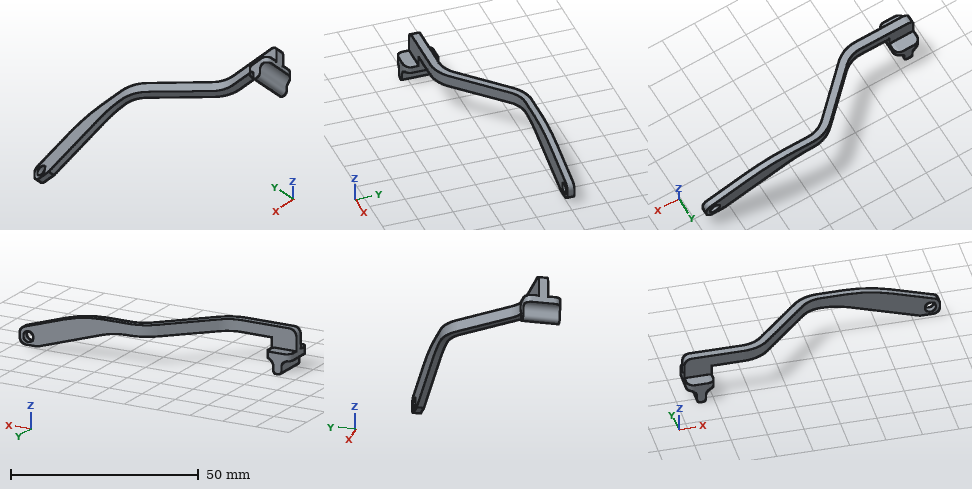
import math

import cadquery as cq


total_length = 74.61
total_width = 23.5
total_height = 12.07

foot_arm_width = 2.5
diagonal_width = 2.35
lever_arm_width = 2.0
crank_angle = 44.5
foot_bend_x = 20.56
bend_outer_radius = 10.0
bend_inner_radius = 8.0

arm_depth_at_foot = 3.4
arm_depth_at_lever = 3.25
nose_radius = 2.0

droop_angle = 18.0
droop_top_start_x = 48.9
droop_top_radius = 40.0
droop_bottom_start_x = 41.95
droop_bottom_radius = 25.0
lever_bottom_depth = 10.8
lever_end_radius = 2.0
pivot_diameter = 3.0
pivot_end_distance = 2.65
pivot_depth = 8.45

foot_length = 7.5
foot_width = 10.0
foot_top_depth = 6.1
foot_bottom_depth = 8.1
foot_corner_radius = 2.0
foot_bevel_length = 1.15
foot_bevel_drop = 0.2
rib_center_x = foot_length / 2
rib_width = 2.5
rib_root_radius = 1.8
rib_tip_radius = 1.0

foot_center_y = -total_width + foot_width / 2
foot_arm_front_y = foot_center_y - foot_arm_width / 2
foot_arm_back_y = foot_center_y + foot_arm_width / 2
droop = math.radians(droop_angle)


def make_plan_blank():
    """Cranked strip of the arm as seen along Z, with rounded bends."""
    crank = math.radians(crank_angle)

    def bend_x(y, offset=0):
        """X where a line parallel to the diagonal's front side, offset behind it, reaches y."""
        return foot_bend_x + (y - foot_arm_front_y) / math.tan(crank) - offset / math.sin(crank)

    lever_bend_x = bend_x(-lever_arm_width)
    back_lever_bend_x = bend_x(0, diagonal_width)
    back_foot_bend_x = bend_x(foot_arm_back_y, diagonal_width)

    corners = [
        (foot_bend_x, foot_arm_front_y, bend_outer_radius),
        (lever_bend_x, -lever_arm_width, bend_inner_radius),
        (back_lever_bend_x, 0, bend_outer_radius),
        (back_foot_bend_x, foot_arm_back_y, bend_inner_radius),
    ]
    blank = (
        cq.Workplane("XY")
        .moveTo(0, foot_arm_front_y)
        .lineTo(foot_bend_x, foot_arm_front_y)
        .lineTo(lever_bend_x, -lever_arm_width)
        .lineTo(total_length, -lever_arm_width)
        .lineTo(total_length, 0)
        .lineTo(back_lever_bend_x, 0)
        .lineTo(back_foot_bend_x, foot_arm_back_y)
        .lineTo(0, foot_arm_back_y)
        .close()
        .extrude(-total_height)
    )
    for x, y, radius in corners:
        corner_edge = cq.selectors.NearestToPointSelector((x, y, -total_height / 2))
        blank = blank.edges("|Z").edges(corner_edge).fillet(radius)
    return blank


def droop_arc(start_x, start_z, radius):
    """Middle and end points of an arc that leaves the X direction and turns down by the droop angle."""

    def point_at(angle):
        return (start_x + radius * math.sin(angle), start_z - radius * (1 - math.cos(angle)))

    return point_at(droop / 2), point_at(droop)


def make_side_blank():
    """Arm and lever outline in XZ, extruded across the full width."""
    top_mid, top_end = droop_arc(droop_top_start_x, 0, droop_top_radius)
    bottom_mid, bottom_end = droop_arc(droop_bottom_start_x, -arm_depth_at_lever, droop_bottom_radius)
    end_top_z = top_end[1] - (total_length - top_end[0]) * math.tan(droop)
    heel_x = bottom_end[0] + (bottom_end[1] + lever_bottom_depth) / math.tan(droop)

    blank = (
        cq.Workplane("XZ")
        .moveTo(0, 0)
        .lineTo(droop_top_start_x, 0)
        .threePointArc(top_mid, top_end)
        .lineTo(total_length, end_top_z)
        .lineTo(total_length, -lever_bottom_depth)
        .lineTo(heel_x, -lever_bottom_depth)
        .lineTo(*bottom_end)
        .threePointArc(bottom_mid, (droop_bottom_start_x, -arm_depth_at_lever))
        .lineTo(foot_length, -arm_depth_at_foot)
        .lineTo(foot_length, -foot_bottom_depth)
        .lineTo(0, -foot_bottom_depth)
        .close()
        .extrude(total_width)
    )
    blank = blank.edges("|Y and >X").fillet(lever_end_radius)
    return blank.edges("|Y and <X and >Z").fillet(nose_radius)


def make_foot():
    """Bevelled plate with a filleted rib along Y, trimmed to a rounded rectangle in plan."""
    rib_left = rib_center_x - rib_width / 2
    rib_right = rib_center_x + rib_width / 2
    root_z = -foot_bottom_depth - rib_root_radius
    tip_z = -total_height + rib_tip_radius
    root_left = rib_left - rib_root_radius
    root_right = rib_right + rib_root_radius

    section = (
        cq.Workplane("XZ")
        .moveTo(0, -foot_top_depth)
        .lineTo(foot_length - foot_bevel_length, -foot_top_depth)
        .lineTo(foot_length, -foot_top_depth - foot_bevel_drop)
        .lineTo(foot_length, -foot_bottom_depth)
        .lineTo(root_right, -foot_bottom_depth)
        .radiusArc((rib_right, root_z), -rib_root_radius)
        .lineTo(rib_right, tip_z)
        .radiusArc((rib_right - rib_tip_radius, -total_height), rib_tip_radius)
        .lineTo(rib_left + rib_tip_radius, -total_height)
        .radiusArc((rib_left, tip_z), rib_tip_radius)
        .lineTo(rib_left, root_z)
        .radiusArc((root_left, -foot_bottom_depth), -rib_root_radius)
        .lineTo(0, -foot_bottom_depth)
        .close()
        .extrude(total_width)
    )
    outline = (
        cq.Workplane("XY")
        .center(foot_length / 2, foot_center_y)
        .rect(foot_length, foot_width)
        .extrude(-total_height)
        .edges("|Z")
        .fillet(foot_corner_radius)
    )
    return section.intersect(outline)


def make_pivot_hole():
    """Cylinder that cuts the pivot hole through the lever."""
    return (
        cq.Workplane("XZ")
        .center(total_length - pivot_end_distance, -pivot_depth)
        .circle(pivot_diameter / 2)
        .extrude(total_width)
    )


arm = make_plan_blank().intersect(make_side_blank())
result = arm.union(make_foot()).cut(make_pivot_hole())